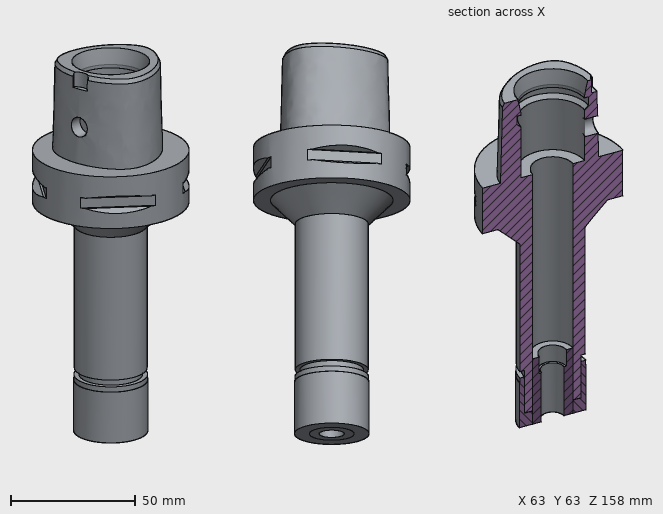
import cadquery as cq
import math

total_height = 158.0
flange_top = 120.1
flange_bottom = 98.0
cone_bottom = 88.0
barrel_bottom = 26.9
nut_top = 24.0
nut_step = 21.8
spigot_bottom = 6.3
collet_top = 31.6

flange_diameter = 63.0
flange_radius = flange_diameter / 2
barrel_radius = 14.7
cone_top_radius = barrel_radius + flange_bottom - cone_bottom
spigot_radius = 12.8
nut_radius = 15.0
nut_collar_radius = 14.9

shank_mean_radius = 22.1
shank_lobe = 1.4
shank_slope = 1 / 40
shank_curve_points = 120
tip_chamfer_height = 1.7
tip_chamfer_inset = 1.0

mouth_radius = 15.6
cavity_radius = 14.2
mouth_depth = 6.6
lip_end_depth = 8.0
undercut_radius = 16.0
undercut_end_depth = 11.8
seat_end_depth = undercut_end_depth + undercut_radius - cavity_radius
cavity_floor = flange_top

key_width = 7.5
key_depth = 6.3
key_round_radius = 5.5
key_inner_reach = 17.5
blind_hole_radius = 4.1
blind_hole_height = 135.5
blind_hole_floor = 14.5

grip_count = 4
grip_first_angle = 45
grip_height = 108.0
grip_floor_distance = 27.6
grip_flare_distance = 28.6
grip_floor_width = 4.5
grip_mouth_width = 7.5

collet_radius = 9.0
collet_bore_radius = 5.0
collet_recess_radius = 6.0
collet_recess_depth = 7.9


def shank_wire(mean_radius, height):
    """Closed rounded-triangle curve of constant width at one height."""

    def point(turn):
        """Point whose tangent line lies at distance reach from the axis, facing the given angle."""
        angle = 2 * math.pi * turn - math.pi / 2
        reach = mean_radius - shank_lobe * math.sin(3 * angle)
        reach_rate = -3 * shank_lobe * math.cos(3 * angle)
        return (
            reach * math.cos(angle) - reach_rate * math.sin(angle),
            reach * math.sin(angle) + reach_rate * math.cos(angle),
        )

    curve = cq.Workplane("XY", origin=(0, 0, height)).parametricCurve(point, N=shank_curve_points)
    return curve.val()


def make_shank():
    chamfer_start = total_height - tip_chamfer_height
    upper_radius = shank_mean_radius - shank_slope * (chamfer_start - flange_top)
    base = shank_wire(shank_mean_radius, flange_top)
    upper = shank_wire(upper_radius, chamfer_start)
    tip = shank_wire(upper_radius - tip_chamfer_inset, total_height)
    ruled = True
    return cq.Workplane(cq.Solid.makeLoft([base, upper, tip], ruled))


def revolve_profile(points):
    return cq.Workplane("XZ").polyline(points).close().revolve(360, (0, 0, 0), (0, 1, 0))


def make_body():
    return revolve_profile([
        (0, flange_top),
        (flange_radius, flange_top),
        (flange_radius, flange_bottom),
        (cone_top_radius, flange_bottom),
        (barrel_radius, cone_bottom),
        (barrel_radius, barrel_bottom),
        (spigot_radius, barrel_bottom),
        (spigot_radius, spigot_bottom),
        (0, spigot_bottom),
    ])


def make_cavity():
    return revolve_profile([
        (0, total_height),
        (mouth_radius, total_height),
        (cavity_radius, total_height - mouth_depth),
        (cavity_radius, total_height - lip_end_depth),
        (undercut_radius, total_height - lip_end_depth),
        (undercut_radius, total_height - undercut_end_depth),
        (cavity_radius, total_height - seat_end_depth),
        (cavity_radius, cavity_floor),
        (collet_radius, cavity_floor),
        (collet_radius, spigot_bottom),
        (0, spigot_bottom),
    ])


def make_key_slot():
    """Slot in the shank tip with a hollow round back wall."""
    bottom = total_height - key_depth
    round_center_y = -key_inner_reach - key_round_radius
    straight_sides = (
        cq.Workplane("XY", origin=(0, round_center_y, bottom))
        .rect(key_width, 2 * key_round_radius)
        .extrude(key_depth)
    )
    round_back = (
        cq.Workplane("XY", origin=(0, round_center_y, bottom))
        .circle(key_round_radius)
        .extrude(key_depth)
    )
    return straight_sides.intersect(round_back)


def make_blind_hole():
    return (
        cq.Workplane("XZ", origin=(0, -blind_hole_floor, blind_hole_height))
        .circle(blind_hole_radius)
        .extrude(shank_mean_radius)
    )


def make_grip_slot(angle):
    """Straight slot across the flange rim with a flat floor, flared out towards the rim."""
    half_floor = grip_floor_width / 2
    half_mouth = grip_mouth_width / 2
    return (
        cq.Workplane("XZ")
        .polyline([
            (grip_floor_distance, grip_height - half_floor),
            (grip_flare_distance, grip_height - half_floor),
            (flange_radius, grip_height - half_mouth),
            (flange_radius, grip_height + half_mouth),
            (grip_flare_distance, grip_height + half_floor),
            (grip_floor_distance, grip_height + half_floor),
        ])
        .close()
        .extrude(flange_radius, both=True)
        .rotate((0, 0, 0), (0, 0, 1), angle)
    )


def make_holder():
    holder = make_body().union(make_shank()).cut(make_cavity())
    holder = holder.cut(make_key_slot()).cut(make_blind_hole())
    for index in range(grip_count):
        holder = holder.cut(make_grip_slot(grip_first_angle + index * 360 / grip_count))
    return holder


def make_nut():
    """Clamping nut: screws over the holder's spigot and closes in on the collet."""
    return revolve_profile([
        (collet_radius, 0),
        (nut_radius, 0),
        (nut_radius, nut_step),
        (nut_collar_radius, nut_step),
        (nut_collar_radius, nut_top),
        (spigot_radius, nut_top),
        (spigot_radius, spigot_bottom),
        (collet_radius, spigot_bottom),
    ])


def make_collet():
    recess_floor = collet_top - collet_recess_depth
    return revolve_profile([
        (collet_bore_radius, 0),
        (collet_radius, 0),
        (collet_radius, collet_top),
        (collet_recess_radius, collet_top),
        (collet_recess_radius, recess_floor),
        (collet_bore_radius, recess_floor),
    ])


holder = make_holder()
nut = make_nut()
collet = make_collet()

result = cq.Compound.makeCompound([holder.val(), nut.val(), collet.val()])